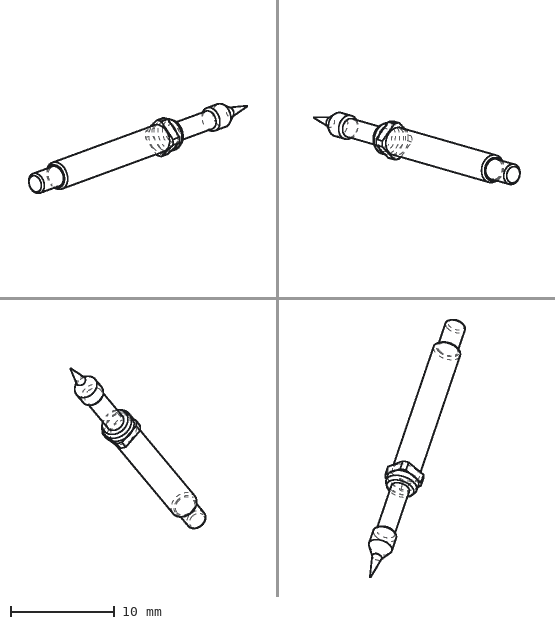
import cadquery as cq
total_length = 30.8

tail_radius = 1.0
tail_length = 3.0
tail_chamfer = 0.2

barrel_radius = 1.35
barrel_length = 15.03
barrel_chamfer = 0.22

flange_diameter = 3.6
flange_flats = 2.93
flange_thickness = 0.95

collar_diameter = 3.1
collar_length = 1.02
collar_taper_length = 0.4
collar_front_radius = 1.35

shaft_radius = 0.91
shaft_length = 5.3
head_radius = 1.17
head_length = 1.85
shoulder_length = 1.2

needle_base_radius = 0.5
needle_end_radius = 0.045

collar_radius = collar_diameter / 2

barrel_rear = tail_length
flange_rear = barrel_rear + barrel_length
flange_front = flange_rear + flange_thickness
collar_front = flange_front + collar_length
head_rear = collar_front + shaft_length
head_front = head_rear + head_length
needle_rear = head_front + shoulder_length


def turned_body():
    """Revolve the half outline (station along Y, radius) of all round parts about Y."""
    head_chamfer = head_radius - shaft_radius
    outline = [
        (0, 0),
        (0, tail_radius - tail_chamfer),
        (tail_chamfer, tail_radius),
        (barrel_rear, tail_radius),
        (barrel_rear, barrel_radius - barrel_chamfer),
        (barrel_rear + barrel_chamfer, barrel_radius),
        (flange_front, barrel_radius),
        (flange_front, collar_radius),
        (collar_front - collar_taper_length, collar_radius),
        (collar_front, collar_front_radius),
        (collar_front, shaft_radius),
        (head_rear, shaft_radius),
        (head_rear + head_chamfer, head_radius),
        (head_front, head_radius),
        (needle_rear, needle_base_radius),
        (total_length, needle_end_radius),
        (total_length, 0),
    ]
    return cq.Workplane("YZ").polyline(outline).close().revolve(360, (0, 0, 0), (1, 0, 0))


def flange():
    """Square plate with its corners on the X and Z axes, trimmed by a cylinder."""
    front_plane = cq.Workplane("XZ", origin=(0, flange_front, 0))
    square = (
        front_plane.transformed(rotate=(0, 0, 45))
        .rect(flange_flats, flange_flats)
        .extrude(flange_thickness)
    )
    disc = front_plane.circle(flange_diameter / 2).extrude(flange_thickness)
    return square.intersect(disc)


result = turned_body().union(flange())